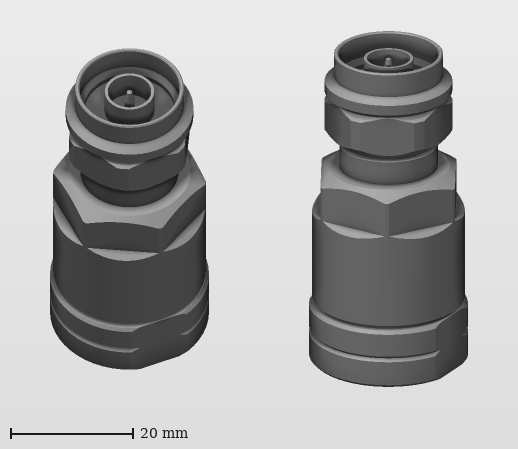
import cadquery as cq
import math

TAN_30 = math.tan(math.radians(30))

CLAMP_RADIUS = 13.0
CLAMP_TOP = 10.0
CLAMP_CHAMFER = 0.5
CLAMP_FLAT_WIDTH = 24.0
CLAMP_GROOVE_Z = 5.1
CLAMP_GROOVE_DEPTH = 0.5

NECK_RADIUS = 11.65
BODY_RADIUS = 12.5
BODY_BOTTOM = 10.85
BODY_TOP = 34.1
BODY_TOP_RADIUS = 10.0
BODY_HEX_WIDTH = 22.0
BODY_HEX_BOTTOM = 26.85

COLLAR_RADIUS = 8.05
COLLAR_TOP = 38.1
STEM_RADIUS = 6.95

NUT_BOTTOM = 39.2
NUT_BOTTOM_RADIUS = 8.75
NUT_RADIUS = 10.45
NUT_LOWER_CONE_TOP = 40.75
NUT_HEX_WIDTH = 19.0
NUT_UPPER_CONE_BOTTOM = 45.75
NUT_GROOVE_Z = 46.67
NUT_GROOVE_RADIUS = 9.42
NUT_GROOVE_EDGE_RADIUS = 9.8
NUT_GROOVE_ARC_RADIUS = 0.46
LIP_BOTTOM = 47.52
LIP_TOP = 49.25
SLEEVE_RADIUS = 8.9
TOTAL_HEIGHT = 54.2
SLEEVE_CHAMFER = 0.2

BORE_RADIUS = 8.2
BORE_CONE_DEPTH = 3.9
FLOOR_RADIUS = 7.35
BORE_CONE_END_DEPTH = 4.75
FLOOR_DEPTH = 5.6
TUBE_OUTER_RADIUS = 4.05
TUBE_INNER_RADIUS = 3.55
TUBE_DEPTH = 1.0
PIN_RADIUS = 0.85
PIN_TIP_RADIUS = 0.42
PIN_TIP_HEIGHT = 0.12
PIN_TIP_DEPTH = 1.0
PIN_TAPER_LENGTH = 1.9

OVERCUT = 1.0
HEX_SIDES = 6


def make_turned_body():
    """Revolve the solid outer profile from the clamping nut up to the sleeve rim."""
    chamfered_clamp = CLAMP_RADIUS - CLAMP_CHAMFER
    body_cone_height = (BODY_RADIUS - BODY_TOP_RADIUS) * TAN_30
    cone_inset = (NUT_RADIUS - NUT_GROOVE_EDGE_RADIUS) * TAN_30
    arc_center_r = NUT_GROOVE_RADIUS + NUT_GROOVE_ARC_RADIUS
    arc_mid_offset = NUT_GROOVE_ARC_RADIUS * math.sqrt(0.5)
    lip_cone_height = (NUT_RADIUS - SLEEVE_RADIUS) * TAN_30
    profile = (
        cq.Workplane("XZ")
        .moveTo(0, 0)
        .lineTo(chamfered_clamp, 0)
        .lineTo(CLAMP_RADIUS, CLAMP_CHAMFER)
        .lineTo(CLAMP_RADIUS, CLAMP_GROOVE_Z - CLAMP_GROOVE_DEPTH)
        .lineTo(CLAMP_RADIUS - CLAMP_GROOVE_DEPTH, CLAMP_GROOVE_Z)
        .lineTo(CLAMP_RADIUS, CLAMP_GROOVE_Z + CLAMP_GROOVE_DEPTH)
        .lineTo(CLAMP_RADIUS, CLAMP_TOP - CLAMP_CHAMFER)
        .lineTo(chamfered_clamp, CLAMP_TOP)
        .lineTo(NECK_RADIUS, CLAMP_TOP)
        .lineTo(NECK_RADIUS, BODY_BOTTOM)
        .lineTo(BODY_RADIUS, BODY_BOTTOM)
        .lineTo(BODY_RADIUS, BODY_TOP - body_cone_height)
        .lineTo(BODY_TOP_RADIUS, BODY_TOP)
        .lineTo(COLLAR_RADIUS, BODY_TOP)
        .lineTo(COLLAR_RADIUS, COLLAR_TOP)
        .lineTo(STEM_RADIUS, COLLAR_TOP)
        .lineTo(STEM_RADIUS, NUT_BOTTOM)
        .lineTo(NUT_BOTTOM_RADIUS, NUT_BOTTOM)
        .lineTo(NUT_RADIUS, NUT_LOWER_CONE_TOP)
        .lineTo(NUT_RADIUS, NUT_UPPER_CONE_BOTTOM)
        .lineTo(NUT_GROOVE_EDGE_RADIUS, NUT_UPPER_CONE_BOTTOM + cone_inset)
        .lineTo(NUT_GROOVE_RADIUS, NUT_GROOVE_Z)
        .threePointArc(
            (arc_center_r - arc_mid_offset, NUT_GROOVE_Z + arc_mid_offset),
            (arc_center_r, NUT_GROOVE_Z + NUT_GROOVE_ARC_RADIUS),
        )
        .lineTo(NUT_RADIUS, LIP_BOTTOM)
        .lineTo(NUT_RADIUS, LIP_TOP)
        .lineTo(SLEEVE_RADIUS, LIP_TOP + lip_cone_height)
        .lineTo(SLEEVE_RADIUS, TOTAL_HEIGHT - SLEEVE_CHAMFER)
        .lineTo(SLEEVE_RADIUS - SLEEVE_CHAMFER, TOTAL_HEIGHT)
        .lineTo(0, TOTAL_HEIGHT)
        .close()
    )
    return profile.revolve(360, (0, 0, 0), (0, 1, 0))


def make_socket():
    """Revolve the space inside the sleeve, leaving the contact tube and pin standing."""
    cone_z = TOTAL_HEIGHT - BORE_CONE_DEPTH
    cone_end_z = TOTAL_HEIGHT - BORE_CONE_END_DEPTH
    floor_z = TOTAL_HEIGHT - FLOOR_DEPTH
    tube_top = TOTAL_HEIGHT - TUBE_DEPTH
    pin_top = TOTAL_HEIGHT - PIN_TIP_DEPTH
    taper_top = pin_top - PIN_TIP_HEIGHT
    profile = (
        cq.Workplane("XZ")
        .moveTo(0, TOTAL_HEIGHT)
        .lineTo(BORE_RADIUS + SLEEVE_CHAMFER, TOTAL_HEIGHT)
        .lineTo(BORE_RADIUS, TOTAL_HEIGHT - SLEEVE_CHAMFER)
        .lineTo(BORE_RADIUS, cone_z)
        .lineTo(FLOOR_RADIUS, cone_end_z)
        .lineTo(FLOOR_RADIUS, floor_z)
        .lineTo(TUBE_OUTER_RADIUS, floor_z)
        .lineTo(TUBE_OUTER_RADIUS, tube_top)
        .lineTo(TUBE_INNER_RADIUS, tube_top)
        .lineTo(TUBE_INNER_RADIUS, floor_z)
        .lineTo(PIN_RADIUS, floor_z)
        .lineTo(PIN_RADIUS, taper_top - PIN_TAPER_LENGTH)
        .lineTo(PIN_TIP_RADIUS, taper_top)
        .lineTo(0, pin_top)
        .close()
    )
    return profile.revolve(360, (0, 0, 0), (0, 1, 0))


def cut_clamp_flats(part):
    """Cut the two wrench flats on the +X and -X sides of the clamping nut."""
    depth = CLAMP_RADIUS - CLAMP_FLAT_WIDTH / 2 + OVERCUT
    center_x = (CLAMP_FLAT_WIDTH + depth) / 2
    for side in (-1, 1):
        cutter = cq.Workplane("XY").box(
            depth, 2 * CLAMP_RADIUS, CLAMP_TOP, centered=(True, True, False)
        )
        part = part.cut(cutter.translate((side * center_x, 0, 0)))
    return part


def cut_body_hexagon(part):
    """Cut six flats, one facing -Y, each running out through a 30 degree slope."""
    flat_distance = BODY_HEX_WIDTH / 2
    outside = BODY_RADIUS + OVERCUT
    slope_drop = (outside - flat_distance) * TAN_30
    cutter = (
        cq.Workplane("YZ")
        .polyline(
            [
                (flat_distance, BODY_TOP),
                (flat_distance, BODY_HEX_BOTTOM),
                (outside, BODY_HEX_BOTTOM - slope_drop),
                (outside, BODY_TOP),
            ]
        )
        .close()
        .extrude(BODY_RADIUS, both=True)
    )
    for side in range(HEX_SIDES):
        part = part.cut(cutter.rotate((0, 0, 0), (0, 0, 1), side * 360 / HEX_SIDES))
    return part


def cut_nut_hexagon(part):
    """Cut the coupling nut to a hexagon with flats facing +X and -X."""
    across_corners = NUT_HEX_WIDTH / math.cos(math.pi / HEX_SIDES)
    height = NUT_GROOVE_Z - NUT_BOTTOM
    cutter = (
        cq.Workplane("XY", origin=(0, 0, NUT_BOTTOM))
        .circle(NUT_RADIUS + OVERCUT)
        .extrude(height)
    )
    hexagon = (
        cq.Workplane("XY", origin=(0, 0, NUT_BOTTOM))
        .polygon(HEX_SIDES, across_corners)
        .extrude(height)
        .rotate((0, 0, 0), (0, 0, 1), 180 / HEX_SIDES)
    )
    return part.cut(cutter.cut(hexagon))


result = make_turned_body()
result = result.cut(make_socket())
result = cut_clamp_flats(result)
result = cut_body_hexagon(result)
result = cut_nut_hexagon(result)